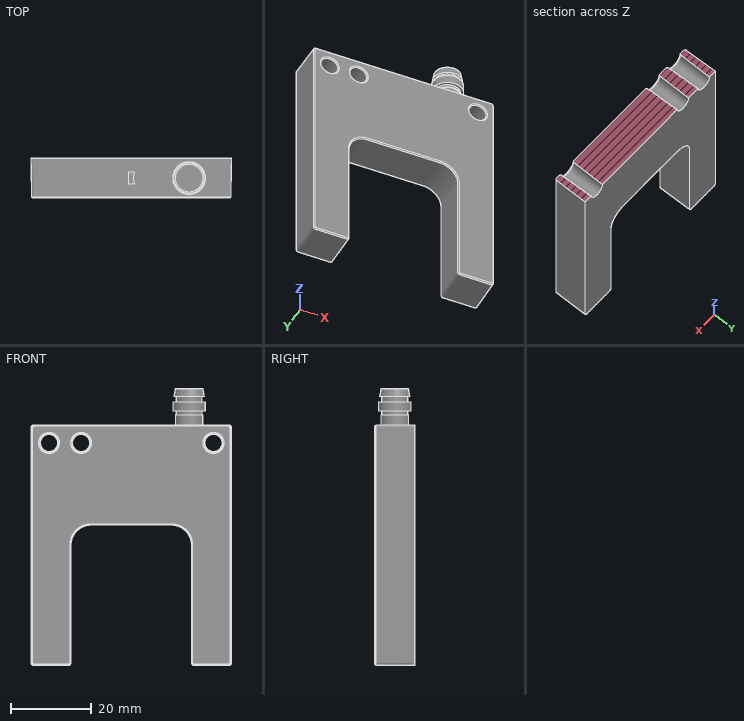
import cadquery as cq
import math

width = 50.0
depth = 10.0
total_height = 69.0
body_height = 59.95
draft_angle = 0.8
corner_radius = 0.7
front_chamfer = 0.31

leg_width = 10.0
gap_width = width - 2 * leg_width
gap_height = 35.0
gap_radius = 5.0

hole_front_diameter = 4.7
hole_back_diameter = 4.3
hole_rim_diameter = 5.25
hole_xs = (-20.5, -12.5, 20.5)
hole_drop = 4.5

adjuster_x = 4.55
adjuster_radius = 4.0
key_reach = 5.25
key_width = 3.05
key_depth = 0.7

connector_x = 14.4
stem_radius = 3.45
neck_radius = 3.25
flange_radius = 4.1
head_radius = 3.8
head_top_radius = 3.45
stem_top = 2.5
flange_bottom = 3.45
flange_top = 5.7
head_bottom = 7.05
connector_height = total_height - body_height
connector_root = 0.7

half_depth = depth / 2


def make_housing():
    """Fork with sides that narrow toward the front, rounded corners and a chamfered front rim."""
    back_half_width = width / 2
    front_half_width = back_half_width - depth * math.tan(math.radians(draft_angle))
    block = (
        cq.Workplane("XY")
        .polyline(
            [
                (-back_half_width, half_depth),
                (back_half_width, half_depth),
                (front_half_width, -half_depth),
                (-front_half_width, -half_depth),
            ]
        )
        .close()
        .extrude(body_height)
    )
    gap = cq.Workplane("XY").box(gap_width, depth, gap_height, centered=(True, True, False))
    gap = gap.edges("|Y and >Z").fillet(gap_radius)
    fork = block.cut(gap)
    fork = fork.faces("<Z or >Z").edges("not |X").fillet(corner_radius)
    return fork.faces("<Y").chamfer(front_chamfer)


def make_mounting_hole():
    """Tool for one hole along Y: slight taper to the back, chamfered rim at the front."""
    front_radius = hole_front_diameter / 2
    rim_radius = hole_rim_diameter / 2
    rim_depth = rim_radius - front_radius
    return (
        cq.Workplane("XY")
        .moveTo(0, -half_depth)
        .lineTo(rim_radius, -half_depth)
        .lineTo(front_radius, -half_depth + rim_depth)
        .lineTo(hole_back_diameter / 2, half_depth)
        .lineTo(0, half_depth)
        .close()
        .revolve(360, (0, 0, 0), (0, 1, 0))
    )


def cut_mounting_holes(body):
    """Row of through holes near the top of the housing."""
    hole = make_mounting_hole()
    for x in hole_xs:
        body = body.cut(hole.translate((x, 0, body_height - hole_drop)))
    return body


def make_key_recess():
    """Tool for a shallow rectangle that stops at the round edge of the adjuster."""
    bar = cq.Workplane("XY").box(key_reach, key_width, key_depth, centered=(False, True, False))
    disc = cq.Workplane("XY").circle(adjuster_radius).extrude(key_depth)
    recess = bar.translate((-key_reach, 0, 0)).cut(disc)
    return recess.translate((adjuster_x, 0, body_height - key_depth))


def make_connector():
    """Turned plug: stem, neck, flange, neck and tapered head."""
    return (
        cq.Workplane("XZ")
        .moveTo(0, -connector_root)
        .lineTo(stem_radius, -connector_root)
        .lineTo(stem_radius, stem_top)
        .lineTo(neck_radius, stem_top)
        .lineTo(neck_radius, flange_bottom)
        .lineTo(flange_radius, flange_bottom)
        .lineTo(flange_radius, flange_top)
        .lineTo(neck_radius, flange_top)
        .lineTo(neck_radius, head_bottom)
        .lineTo(head_radius, head_bottom)
        .lineTo(head_top_radius, connector_height)
        .lineTo(0, connector_height)
        .close()
        .revolve(360, (0, 0, 0), (0, 1, 0))
        .translate((connector_x, 0, body_height))
    )


housing = cut_mounting_holes(make_housing()).cut(make_key_recess())
result = housing.union(make_connector())